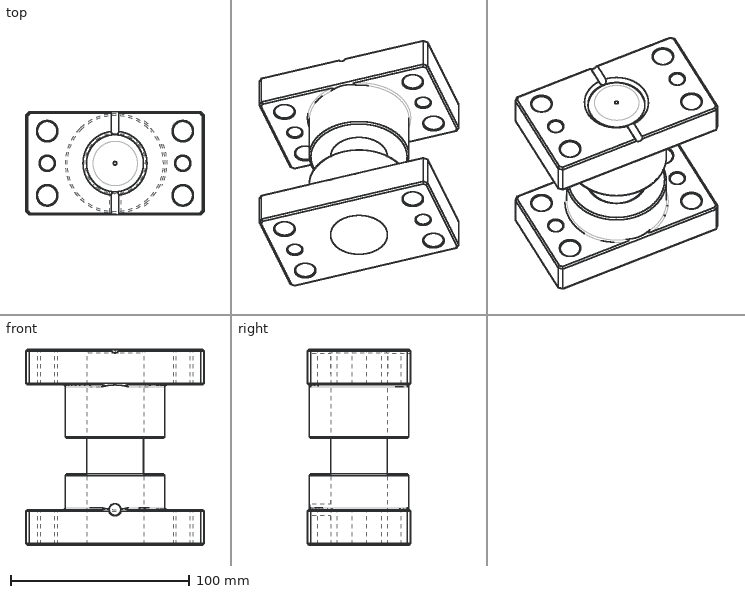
import cadquery as cq

TOTAL_HEIGHT = 110.0
PLATE_LENGTH = 100.0
PLATE_WIDTH = 58.0
PLATE_THICKNESS = 20.0
CORNER_CHAMFER = 2.0
RIM_CHAMFER = 1.0

BOSS_DIAMETER = 56.0
LOWER_BOSS_HEIGHT = 20.0
UPPER_BOSS_HEIGHT = 30.0
BOSS_CHAMFER = 1.0
ROOT_FILLET = 1.0

POST_DIAMETER = 32.0
POST_TOP_FILLET = 3.5
CENTRE_MARK_DIAMETER = 2.0
LOWER_BORE_CHAMFER = 1.0
UPPER_BORE_CHAMFER = 2.0

HOLE_OFFSET_X = 38.1
BOLT_OFFSET_Y = 18.0
BOLT_HOLE_DIAMETER = 11.0
DOWEL_HOLE_DIAMETER = 8.0
HOLE_CHAMFER = 0.5

GROOVE_RADIUS = 2.1
PORT_DIAMETER = 6.5
PORT_CHAMFER = 0.3

BOSS_RADIUS = BOSS_DIAMETER / 2
POST_RADIUS = POST_DIAMETER / 2


def plate():
    """Rectangular plate on z = 0 with chamfered corners and rims."""
    block = cq.Workplane("XY").box(PLATE_LENGTH, PLATE_WIDTH, PLATE_THICKNESS, centered=(True, True, False))
    block = block.edges("|Z").chamfer(CORNER_CHAMFER)
    return block.faces("<Z or >Z").edges().chamfer(RIM_CHAMFER)


def root_fillet():
    """Concave ring where the boss meets the plate, trimmed by the rim chamfers continued upward."""
    inner = BOSS_RADIUS - ROOT_FILLET
    ring = (
        cq.Workplane("XZ", origin=(0, 0, PLATE_THICKNESS))
        .moveTo(inner, 0)
        .lineTo(BOSS_RADIUS + ROOT_FILLET, 0)
        .radiusArc((BOSS_RADIUS, ROOT_FILLET), ROOT_FILLET)
        .lineTo(inner, ROOT_FILLET)
        .close()
        .revolve(360, (0, 0, 0), (0, 1, 0))
    )
    half_width = PLATE_WIDTH / 2
    eaves = PLATE_THICKNESS - RIM_CHAMFER
    roof = (
        cq.Workplane("YZ")
        .polyline([(-half_width, eaves), (half_width, eaves), (0, eaves + half_width)])
        .close()
        .extrude(PLATE_LENGTH / 2, both=True)
    )
    return ring.intersect(roof)


def chamfered_hole(x, y, diameter):
    """Cutter for a through hole in the plate, chamfered at both ends."""
    radius = diameter / 2
    mouth = radius + HOLE_CHAMFER
    return (
        cq.Workplane("XZ")
        .polyline([
            (0, 0),
            (mouth, 0),
            (radius, HOLE_CHAMFER),
            (radius, PLATE_THICKNESS - HOLE_CHAMFER),
            (mouth, PLATE_THICKNESS),
            (0, PLATE_THICKNESS),
        ])
        .close()
        .revolve(360, (0, 0, 0), (0, 1, 0))
        .translate((x, y, 0))
    )


def holder(boss_height):
    """Plate with a boss on top, a bore for the post, and bolt and dowel holes at both ends."""
    height = PLATE_THICKNESS + boss_height
    boss = cq.Workplane("XY", origin=(0, 0, PLATE_THICKNESS)).circle(BOSS_RADIUS).extrude(boss_height)
    boss = boss.faces(">Z").edges().chamfer(BOSS_CHAMFER)
    body = plate().union(boss).union(root_fillet())
    body = body.cut(cq.Workplane("XY").circle(POST_RADIUS).extrude(height))
    for x in (-HOLE_OFFSET_X, HOLE_OFFSET_X):
        body = body.cut(chamfered_hole(x, 0, DOWEL_HOLE_DIAMETER))
        for y in (-BOLT_OFFSET_Y, BOLT_OFFSET_Y):
            body = body.cut(chamfered_hole(x, y, BOLT_HOLE_DIAMETER))
    return body


def bore_mouth(chamfer):
    """45 degree cone that chamfers the bore, widest at z = 0 and narrowing upward."""
    return cq.Workplane(cq.Solid.makeCone(POST_RADIUS + chamfer, POST_RADIUS, chamfer))


def oil_port():
    """Cutter along Y from the front face to the bore, countersunk at the front face."""
    radius = PORT_DIAMETER / 2
    mouth = radius + PORT_CHAMFER
    front = PLATE_WIDTH / 2
    return (
        cq.Workplane("XY")
        .polyline([
            (0, 0),
            (radius, 0),
            (radius, PORT_CHAMFER - front),
            (mouth, -front),
            (0, -front),
        ])
        .close()
        .revolve(360, (0, 0, 0), (0, 1, 0))
        .translate((0, 0, PLATE_THICKNESS))
    )


def lower_holder():
    """Boss pointing up, with an oil port from the front face to the bore."""
    height = PLATE_THICKNESS + LOWER_BOSS_HEIGHT
    mouth = bore_mouth(LOWER_BORE_CHAMFER).rotate((0, 0, 0), (1, 0, 0), 180).translate((0, 0, height))
    return holder(LOWER_BOSS_HEIGHT).cut(mouth).cut(oil_port())


def upper_holder():
    """Boss pointing down, with a half-round oil groove across the outer face."""
    groove = (
        cq.Workplane("XZ")
        .moveTo(-GROOVE_RADIUS, 0)
        .threePointArc((0, GROOVE_RADIUS), (GROOVE_RADIUS, 0))
        .close()
        .extrude(PLATE_WIDTH / 2, both=True)
    )
    body = holder(UPPER_BOSS_HEIGHT).cut(bore_mouth(UPPER_BORE_CHAMFER)).cut(groove)
    return body.rotate((0, 0, 0), (1, 0, 0), 180).translate((0, 0, TOTAL_HEIGHT))


def guide_post():
    """Full-height post with a rounded top edge and a conical centre mark."""
    post = cq.Workplane("XY").circle(POST_RADIUS).extrude(TOTAL_HEIGHT)
    post = post.faces(">Z").edges().fillet(POST_TOP_FILLET)
    mark_radius = CENTRE_MARK_DIAMETER / 2
    mark = cq.Solid.makeCone(0, mark_radius, mark_radius, pnt=cq.Vector(0, 0, TOTAL_HEIGHT - mark_radius))
    return post.cut(cq.Workplane(mark))


result = cq.Compound.makeCompound([
    lower_holder().solids().val(),
    upper_holder().solids().val(),
    guide_post().solids().val(),
])